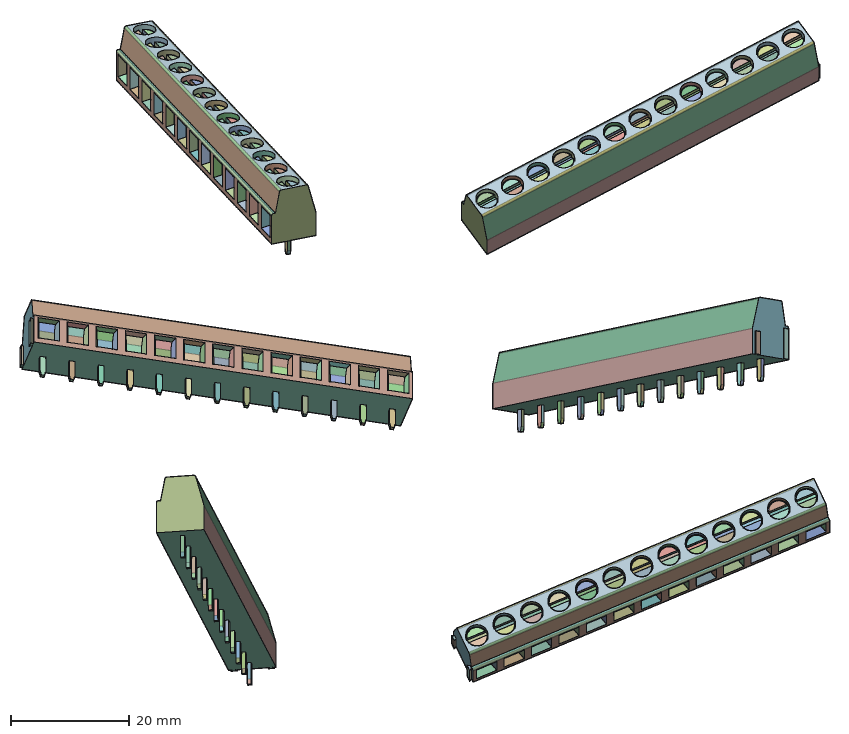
import cadquery as cq


total_length = 66.55
pole_count = 13

key_length = 0.45
housing_length = total_length - key_length
pole_pitch = housing_length / pole_count
housing_width = 8.2
housing_height = 10.0
top_edge_y = 2.6
top_round = 0.4
back_wall_height = 4.4
ledge_height = 5.8
ledge_inner_y = -3.4
ledge_round = 0.3

entry_width = 3.7
entry_bottom = 1.0
entry_top = 5.2
entry_depth = 1.3
entry_side_taper = 0.5
entry_floor_taper = 0.5
entry_roof_taper = 0.2
entry_step_height = 3.45
entry_slope_depth = 0.3

screw_diameter = 3.8
screw_recess = 0.8
screw_chamfer = 0.2
screw_slot_width = 0.8
screw_slot_depth = 0.8

pin_length = 3.8
pin_width = 1.0
pin_thickness = 0.65
pin_tip_width = 0.6
pin_tip_length = 0.8

key_inner_y = 2.65
key_outer_y = 3.7
key_undercut = 0.25
front_key_height = 5.25
back_key_height = 4.0

front_y = -housing_width / 2
back_y = housing_width / 2
pole_centres = [key_length + (index + 0.5) * pole_pitch for index in range(pole_count)]


def make_housing():
    """Housing extruded along X, with rounded top edges and a rounded front ledge."""
    profile = [
        (front_y, 0),
        (front_y, ledge_height),
        (ledge_inner_y, ledge_height),
        (-top_edge_y, housing_height),
        (top_edge_y, housing_height),
        (back_y, back_wall_height),
        (back_y, 0),
    ]
    housing = cq.Workplane("YZ", origin=(key_length, 0, 0)).polyline(profile).close().extrude(housing_length)
    housing = housing.faces(">Z").edges("|X").fillet(top_round)
    return housing.faces("<Y").edges(">Z").fillet(ledge_round)


def make_key(side, height):
    """Dovetail key on the -X end; side is 1 at the back and -1 at the front."""
    outline = [
        (0, side * key_inner_y),
        (key_length, side * (key_inner_y + key_undercut)),
        (key_length, side * (key_outer_y - key_undercut)),
        (0, side * key_outer_y),
    ]
    return cq.Workplane("XY").polyline(outline).close().extrude(height)


def make_entry(x):
    """Tapered wire entry cut in from the front face, its roof sloping down to the back wall."""
    mouth_height = entry_top - entry_bottom
    inner_bottom = entry_bottom + entry_floor_taper
    inner_top = entry_top - entry_roof_taper
    mouth_centre = (entry_bottom + entry_top) / 2
    inner_centre = (inner_bottom + inner_top) / 2
    funnel = (
        cq.Workplane("XZ", origin=(x, front_y, 0))
        .center(0, mouth_centre)
        .rect(entry_width, mouth_height)
        .workplane(offset=-entry_depth)
        .center(0, inner_centre - mouth_centre)
        .rect(entry_width - 2 * entry_side_taper, inner_top - inner_bottom)
        .loft(ruled=True)
    )
    back_wall_y = front_y + entry_depth
    roof_slope = [
        (back_wall_y, entry_step_height),
        (back_wall_y, entry_top),
        (back_wall_y - entry_slope_depth, entry_top),
    ]
    roof = (
        cq.Workplane("YZ", origin=(x, 0, 0))
        .polyline(roof_slope)
        .close()
        .extrude(entry_width / 2, both=True)
    )
    return funnel.cut(roof)


def make_screw_recess(x):
    """Bore down to a chamfered screw head with a driver slot; returns the empty space to cut away."""
    slot_floor = housing_height - screw_recess - screw_slot_depth
    floor_plane = cq.Workplane("XY", origin=(x, 0, slot_floor))
    bore = floor_plane.circle(screw_diameter / 2).extrude(screw_recess + screw_slot_depth)
    head = floor_plane.circle(screw_diameter / 2).extrude(screw_slot_depth).faces(">Z").chamfer(screw_chamfer)
    slot = floor_plane.rect(screw_diameter, screw_slot_width).extrude(screw_slot_depth)
    return bore.cut(head.cut(slot))


def make_pin(x):
    """Flat solder pin with a tapered tip."""
    half = pin_width / 2
    half_tip = pin_tip_width / 2
    outline = [
        (-half, 0),
        (-half, pin_tip_length - pin_length),
        (-half_tip, -pin_length),
        (half_tip, -pin_length),
        (half, pin_tip_length - pin_length),
        (half, 0),
    ]
    return cq.Workplane("XZ", origin=(x, 0, 0)).polyline(outline).close().extrude(pin_thickness / 2, both=True)


result = make_housing().union(make_key(-1, front_key_height)).union(make_key(1, back_key_height))
for centre in pole_centres:
    result = result.cut(make_entry(centre)).cut(make_screw_recess(centre)).union(make_pin(centre))